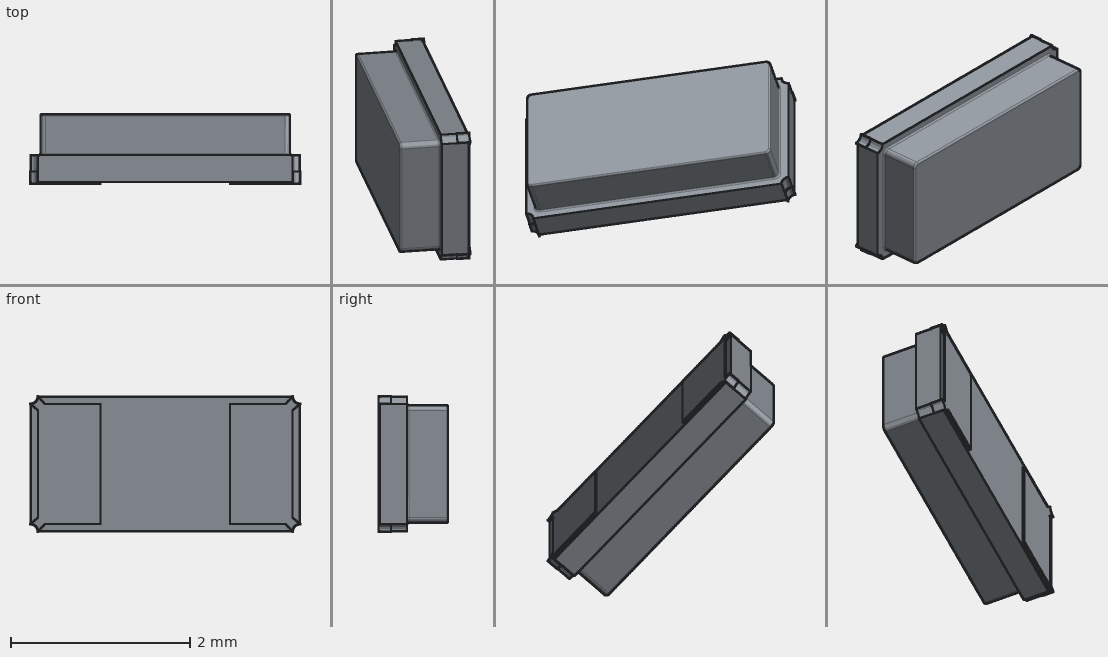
import cadquery as cq

overall_length = 3.01
overall_height = 1.51
overall_depth = 0.78

plating_thickness = 0.005
base_length = overall_length - 2 * plating_thickness
base_height = overall_height - 2 * plating_thickness
base_depth = 0.3
notch_radius = 0.08

lid_inset = 0.108
lid_length = base_length - 2 * lid_inset
lid_height = 1.312
lid_corner_radius = 0.057
lid_edge_radius = 0.02
joint_radius = 0.018

pad_thickness = 0.02
pad_inset = 0.08
pad_inner_edge = 0.78
side_taper_start = 0.155
edge_taper_start = 0.16
plating_depth = 0.14

lid_depth = overall_depth - base_depth - pad_thickness
half_length = base_length / 2
half_height = base_height / 2

pad_face = 0.0
base_front = pad_face + pad_thickness
base_back = base_front + base_depth


def plane_at(y):
    """Plane parallel to XZ; its normal is -Y, so negative extrusions go toward +Y."""
    return cq.Workplane("XZ", origin=(0, y, 0))


def block(length, height, start, depth):
    return plane_at(start).rect(length, height).extrude(-depth)


def corner_cylinders(radius, start, depth):
    """Four cylinders along Y, centred on the corners of the base outline."""
    corners = plane_at(start).rect(base_length, base_height, forConstruction=True)
    return corners.vertices().circle(radius).extrude(-depth)


def make_base():
    body = block(base_length, base_height, base_front, base_depth)
    return body.cut(corner_cylinders(notch_radius, base_front, base_depth))


def make_lid():
    lid = block(lid_length, lid_height, base_back, lid_depth)
    lid = lid.edges("|Y").fillet(lid_corner_radius)
    return lid.faces(">Y").edges().fillet(lid_edge_radius)


def make_body():
    """Base and lid, joined by a small concave fillet around the foot of the lid."""
    body = make_base().union(make_lid())
    foot = cq.selectors.BoxSelector(
        (-lid_length / 2 - joint_radius, base_back - joint_radius, -lid_height / 2 - joint_radius),
        (lid_length / 2 + joint_radius, base_back + joint_radius, lid_height / 2 + joint_radius),
    )
    return body.edges("#Y").edges(foot).fillet(joint_radius)


def make_left_pad():
    """Pad whose outer corners taper out to the corner notches."""
    upper = [
        (pad_inner_edge, pad_inset),
        (edge_taper_start, pad_inset),
        (notch_radius, 0),
        (0, 0),
        (0, notch_radius),
        (pad_inset, side_taper_start),
    ]
    top_points = [(inward - half_length, half_height - down) for inward, down in upper]
    bottom_points = [(x, -z) for x, z in reversed(top_points)]
    pad = plane_at(pad_face).polyline(top_points + bottom_points).close().extrude(-pad_thickness)
    return pad.cut(corner_cylinders(notch_radius, pad_face, pad_thickness))


def make_notch_plating():
    """Thin curved plating lining the front part of every corner notch."""
    liner = corner_cylinders(notch_radius, pad_face, plating_depth)
    liner = liner.cut(corner_cylinders(notch_radius - plating_thickness, pad_face, plating_depth))
    envelope = block(overall_length, overall_height, pad_face, plating_depth)
    return liner.intersect(envelope)


left_pad = make_left_pad()
result = (
    make_body()
    .union(left_pad)
    .union(left_pad.mirror("YZ"))
    .union(make_notch_plating())
)